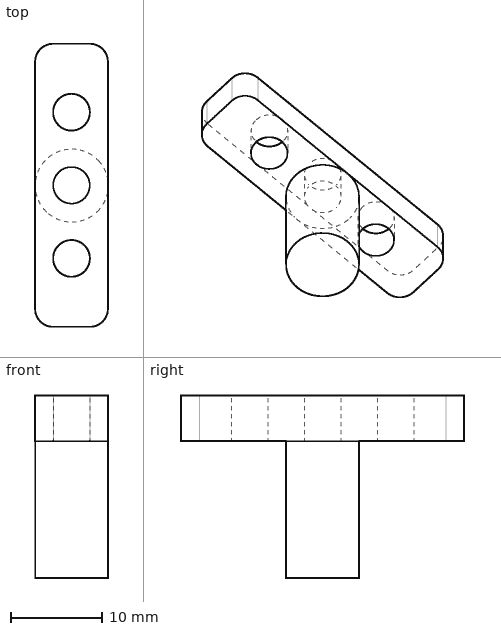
import cadquery as cq

bar_length = 31.0
bar_width = 8.0
total_height = 20.0
bar_thickness = 5.0
corner_radius = bar_width / 4

hole_diameter = bar_width / 2
screw_hole_offset = bar_width

post_diameter = bar_width
post_length = total_height - bar_thickness


def make_crossbar():
    """Rounded bar with two screw holes and a central spigot hole."""
    blank = (
        cq.Workplane("XY")
        .rect(bar_width, bar_length)
        .extrude(bar_thickness)
        .edges("|Z")
        .fillet(corner_radius)
    )
    hole_centres = [(0, -screw_hole_offset), (0, 0), (0, screw_hole_offset)]
    holes = (
        cq.Workplane("XY")
        .pushPoints(hole_centres)
        .circle(hole_diameter / 2)
        .extrude(bar_thickness)
    )
    return blank.cut(holes)


def make_post():
    """Round post below the bar, with a spigot ending flush with the bar's top."""
    shank = cq.Workplane("XY").circle(post_diameter / 2).extrude(-post_length)
    spigot = cq.Workplane("XY").circle(hole_diameter / 2).extrude(bar_thickness)
    return shank.union(spigot)


crossbar = make_crossbar()
post = make_post()

result = cq.Compound.makeCompound([crossbar.val(), post.val()])